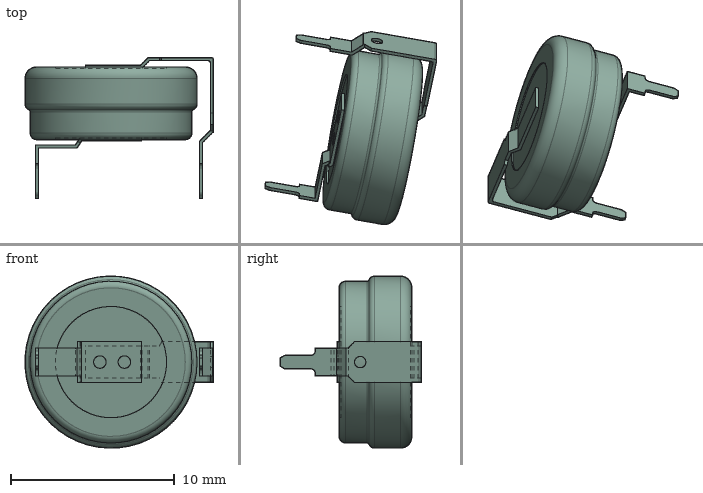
import cadquery as cq
import math

CELL_RADIUS = 10.5 / 2
CAP_RADIUS = 9.87 / 2
CELL_DEPTH = 4.44
CAN_EDGE_RADIUS = 0.7
CAP_EDGE_RADIUS = 0.4
SHOULDER_Y = 2.17
SHOULDER_RADIUS = 0.37
NECK_RADIUS = 0.16
RECESS_RADIUS = 3.39

OVERALL_LENGTH = 11.5
OVERALL_DEPTH = 8.6
SHEET = 0.2
FRONT_PLATE_RISE = 0.08
BACK_PLATE_RISE = 0.12
PLATE_WIDTH = 2.48
BACK_PLATE_WIDTH = 1.93
STEM_WIDTH = 1.69
PIN_WIDTH = 0.84
PIN_TIP_WIDTH = 0.51
PIN_TIP_LENGTH = 0.28
PIN_TIP_RADIUS = 0.25
PIN_TIP_Y = -3.59
STEM_END_Y = -1.46
PIN_ROOT_RADIUS = 0.25
PIN_PITCH = 10.0
FRONT_PIN_X = -4.61

FRONT_PLATE_END_X = 1.86
FRONT_FOLD_X = -1.78
FRONT_FOLD_RUN = 0.29
FRONT_STRIP_Y = -0.51
FRONT_WING_Y = -0.13
WELD_RADIUS = 0.38
WELD_SPACING = 1.5
WELD_CENTRE_X = 0.07
WELD_DEPTH = 0.05

BACK_PLATE_END_X = -1.55
BACK_FOLD_X = 1.8
BACK_STRIP_Y = OVERALL_DEPTH + PIN_TIP_Y
LEG_X = OVERALL_LENGTH - CELL_RADIUS
LEG_FOLD_Y = 0.5
HEEL_HEIGHT = 0.06
LEG_TAPER_Y = 0.94
LEG_TAPER_END_Y = 0.54
WIDENING_X = 2.94
WIDENING_LENGTH = 0.15
BEND_RADIUS = 0.13
LEG_HOLE_RADIUS = 0.35
LEG_HOLE_Y = 1.29


def y_cylinder(x, radius, y_start, y_end):
    """Cylinder along Y between two Y positions."""
    return cq.Workplane("XZ", origin=(x, y_start, 0)).circle(radius).extrude(y_start - y_end)


def make_cell():
    """Revolve the stepped can, then sink a round seat for a plate into each face."""
    step = CELL_RADIUS - CAP_RADIUS
    turn = math.acos(1 - step / (SHOULDER_RADIUS + NECK_RADIUS))
    half = turn / 2
    shoulder_r = CELL_RADIUS - SHOULDER_RADIUS
    neck_r = CAP_RADIUS + NECK_RADIUS
    neck_y = SHOULDER_Y - (SHOULDER_RADIUS + NECK_RADIUS) * math.sin(turn)

    def shoulder_point(angle):
        return (
            shoulder_r + SHOULDER_RADIUS * math.cos(angle),
            SHOULDER_Y - SHOULDER_RADIUS * math.sin(angle),
        )

    def neck_point(angle):
        return (neck_r - NECK_RADIUS * math.cos(angle), neck_y + NECK_RADIUS * math.sin(angle))

    cell = (
        cq.Workplane("XY")
        .lineTo(CAP_RADIUS - CAP_EDGE_RADIUS, 0)
        .radiusArc((CAP_RADIUS, CAP_EDGE_RADIUS), -CAP_EDGE_RADIUS)
        .lineTo(CAP_RADIUS, neck_y)
        .threePointArc(neck_point(half), neck_point(turn))
        .threePointArc(shoulder_point(half), (CELL_RADIUS, SHOULDER_Y))
        .lineTo(CELL_RADIUS, CELL_DEPTH - CAN_EDGE_RADIUS)
        .radiusArc((CELL_RADIUS - CAN_EDGE_RADIUS, CELL_DEPTH), -CAN_EDGE_RADIUS)
        .lineTo(0, CELL_DEPTH)
        .close()
        .revolve(360, (0, 0), (0, 1))
    )
    front_seat = y_cylinder(0, RECESS_RADIUS, 0, SHEET - FRONT_PLATE_RISE)
    back_seat = y_cylinder(0, RECESS_RADIUS, CELL_DEPTH + BACK_PLATE_RISE - SHEET, CELL_DEPTH)
    return cell.cut(front_seat).cut(back_seat).solids()


def bent_sheet(path):
    """Sheet of full plate width that follows path, with its thickness on the left of the path."""
    directions = [math.atan2(b[1] - a[1], b[0] - a[0]) for a, b in zip(path, path[1:])]
    arriving = directions[:1] + directions
    leaving = directions + directions[-1:]
    far_side = []
    for (x, y), before, after in zip(path, arriving, leaving):
        middle = (before + after) / 2
        reach = SHEET / math.cos((after - before) / 2)
        far_side.append((x - reach * math.sin(middle), y + reach * math.cos(middle)))
    outline = cq.Workplane("XY").polyline(path + far_side[::-1]).close()
    return outline.extrude(PLATE_WIDTH / 2, both=True)


def lead_blank(taper_start_y, taper_end_y):
    """Block with the lead outline along Y (full width, stem, pin and tip) that trims a bent sheet."""
    plate, stem, pin, tip = (width / 2 for width in (PLATE_WIDTH, STEM_WIDTH, PIN_WIDTH, PIN_TIP_WIDTH))
    tip_start_y = PIN_TIP_Y + PIN_TIP_LENGTH
    half = (
        cq.Workplane("YZ")
        .moveTo(BACK_STRIP_Y, 0)
        .lineTo(BACK_STRIP_Y, plate)
        .lineTo(taper_start_y, plate)
        .lineTo(taper_end_y, stem)
        .lineTo(STEM_END_Y, stem)
        .lineTo(STEM_END_Y, pin + PIN_ROOT_RADIUS)
        .radiusArc((STEM_END_Y - PIN_ROOT_RADIUS, pin), PIN_ROOT_RADIUS)
        .lineTo(tip_start_y, pin)
        .lineTo(PIN_TIP_Y, tip)
        .lineTo(PIN_TIP_Y, 0)
        .close()
        .extrude(LEG_X, both=True)
    )
    tip_start = cq.selectors.NearestToPointSelector((0, tip_start_y, pin))
    half = half.edges(tip_start).fillet(PIN_TIP_RADIUS)
    return half.union(half.mirror("XY"))


def make_front_lead():
    """Welded plate on the front face, folded out to a strip and forward to a pin."""
    sheet = bent_sheet([
        (FRONT_PIN_X + SHEET, PIN_TIP_Y),
        (FRONT_PIN_X + SHEET, FRONT_STRIP_Y),
        (FRONT_FOLD_X - FRONT_FOLD_RUN, FRONT_STRIP_Y),
        (FRONT_FOLD_X, -FRONT_PLATE_RISE),
        (FRONT_PLATE_END_X, -FRONT_PLATE_RISE),
    ])
    lead = sheet.intersect(lead_blank(FRONT_WING_Y, FRONT_WING_Y))
    for side in (-1, 1):
        weld_x = WELD_CENTRE_X + side * WELD_SPACING / 2
        weld_mark = y_cylinder(weld_x, WELD_RADIUS, -FRONT_PLATE_RISE, WELD_DEPTH - FRONT_PLATE_RISE)
        lead = lead.cut(weld_mark)
    return lead.solids()


def back_plate_blank():
    """Block with the back lead outline along X (narrow plate, then full width) that trims its sheet."""
    narrow, wide = BACK_PLATE_WIDTH / 2, PLATE_WIDTH / 2
    widening_end_x = WIDENING_X + WIDENING_LENGTH
    outline = cq.Workplane("XZ").polyline([
        (BACK_PLATE_END_X, -narrow),
        (WIDENING_X, -narrow),
        (widening_end_x, -wide),
        (LEG_X, -wide),
        (LEG_X, wide),
        (widening_end_x, wide),
        (WIDENING_X, narrow),
        (BACK_PLATE_END_X, narrow),
    ]).close()
    return outline.extrude(BACK_STRIP_Y - PIN_TIP_Y, both=True)


def make_back_lead():
    """Welded plate on the back face, folded out, around the cell's side and forward to a pin."""
    plate_y = CELL_DEPTH + BACK_PLATE_RISE
    pin_x = FRONT_PIN_X + PIN_PITCH + SHEET
    sheet = bent_sheet([
        (pin_x, PIN_TIP_Y),
        (pin_x, LEG_FOLD_Y - (LEG_X - pin_x)),
        (LEG_X, LEG_FOLD_Y),
        (LEG_X, BACK_STRIP_Y),
        (BACK_FOLD_X + BACK_STRIP_Y - plate_y, BACK_STRIP_Y),
        (BACK_FOLD_X, plate_y),
        (BACK_PLATE_END_X, plate_y),
    ])
    for x, y in ((LEG_X, BACK_STRIP_Y), (LEG_X - SHEET, BACK_STRIP_Y - SHEET)):
        corner = cq.selectors.NearestToPointSelector((x, y, 0))
        sheet = sheet.edges("|Z").edges(corner).fillet(BEND_RADIUS)

    heel = cq.Workplane("XY").polyline([
        (LEG_X, LEG_FOLD_Y),
        (LEG_X, LEG_FOLD_Y - HEEL_HEIGHT),
        (LEG_X - HEEL_HEIGHT, LEG_FOLD_Y - HEEL_HEIGHT),
    ]).close().extrude(STEM_WIDTH / 2, both=True)
    sheet = sheet.union(heel)

    lead = sheet.intersect(lead_blank(LEG_TAPER_Y, LEG_TAPER_END_Y)).intersect(back_plate_blank())
    leg_hole = cq.Workplane("YZ").center(LEG_HOLE_Y, 0).circle(LEG_HOLE_RADIUS).extrude(LEG_X)
    return lead.cut(leg_hole).solids()


cell = make_cell()
front_lead = make_front_lead()
back_lead = make_back_lead()

result = cq.Compound.makeCompound([cell.val(), front_lead.val(), back_lead.val()])